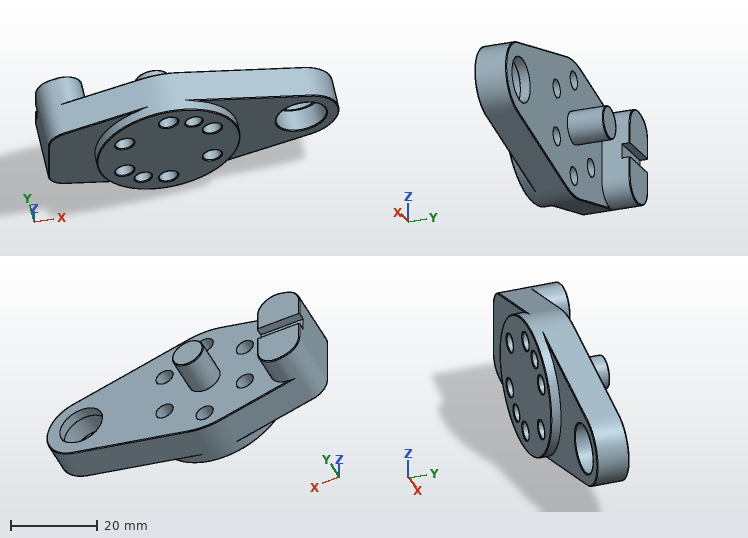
import cadquery as cq
import math


hub_diameter = 34.0
hub_overhang = 0.002
flank_radius = hub_diameter / 2 - hub_overhang
left_end_x = -28.0
right_end_radius = 9.0
right_end_x = 32.0
corner_radius = 5.0

total_depth = 19.5
plate_front = 2.5
plate_thickness = 8.0
plate_back = plate_front + plate_thickness
pin_rise = 2.0
block_back = total_depth - pin_rise

block_length = 11.0
slot_width = 3.5
slot_depth = 2.0

pin_diameter = 8.0
bolt_circle_radius = 12.0
bolt_hole_diameter = 4.4
bolt_hole_count = 6
first_bolt_angle = 90
dowel_hole_diameter = 4.0
dowel_hole_depth = 6.0
dowel_angles = (60, 240)
bore_diameter = 12.0
bore_lip_diameter = 11.05
bore_lip_thickness = 2.5

edge_break = 0.2


def front_plane(y, x=0, z=0):
    """Workplane parallel to the hub face at depth y, centred on (x, z)."""
    return cq.Workplane("XZ", origin=(x, y, z))


def cylinder(diameter, y_start, y_end, x=0, z=0):
    return front_plane(y_start, x, z).circle(diameter / 2).extrude(y_start - y_end)


def hole_cutter(diameter, y_start, y_end, x, z):
    """Hole from y_start to y_end with a chamfered rim at y_start."""
    rim = cq.Solid.makeCone(
        diameter / 2 + edge_break, diameter / 2, edge_break, cq.Vector(x, y_start, z), cq.Vector(0, 1, 0)
    )
    return cylinder(diameter, y_start, y_end, x, z).union(cq.Workplane(rim))


def outline_prism(y_start, y_end):
    """Plate outline with sharp left corners: straight sides tangent to the flanks and right end."""
    slope = math.asin((flank_radius - right_end_radius) / right_end_x)
    flank_x = flank_radius * math.sin(slope)
    flank_z = flank_radius * math.cos(slope)
    tip_x = right_end_x + right_end_radius * math.sin(slope)
    tip_z = right_end_radius * math.cos(slope)
    left_z = flank_z - (-flank_x - left_end_x) * math.tan(slope)
    return (
        front_plane(y_start)
        .moveTo(left_end_x, left_z)
        .lineTo(-flank_x, flank_z)
        .threePointArc((0, flank_radius), (flank_x, flank_z))
        .lineTo(tip_x, tip_z)
        .threePointArc((right_end_x + right_end_radius, 0), (tip_x, -tip_z))
        .lineTo(flank_x, -flank_z)
        .threePointArc((0, -flank_radius), (-flank_x, -flank_z))
        .lineTo(left_end_x, -left_z)
        .close()
        .extrude(y_start - y_end)
    )


def make_plate():
    plate = outline_prism(plate_front, plate_back)
    plate = plate.edges("|Y and <X").fillet(corner_radius)
    return plate.faces("<Y or >Y").edges().chamfer(edge_break)


def make_hub():
    """Disc standing proud of the plate front and running back through the plate."""
    hub = cylinder(hub_diameter, 0, plate_back - edge_break)
    return hub.faces("<Y").edges().chamfer(edge_break)


def left_end_box(y_start, y_end, height):
    """Box as long as the end block, centred on Z."""
    box = cq.Workplane("XY", origin=(left_end_x, y_start, 0))
    return box.box(block_length, y_end - y_start, height, centered=(False, False, True))


def make_block():
    """Raised left end of the plate with rounded corners and a slot across its back."""
    start = plate_front + edge_break
    left_part = left_end_box(0, total_depth, hub_diameter)
    block = outline_prism(start, block_back).intersect(left_part)
    block = block.edges("|Y").fillet(corner_radius)
    block = block.faces(">Y").edges().chamfer(edge_break)
    return block.cut(left_end_box(block_back - slot_depth, block_back, slot_width))


def make_pin():
    pin = cylinder(pin_diameter, plate_front, total_depth)
    return pin.faces(">Y").edges().chamfer(edge_break)


def polar(angle):
    """Point (x, z) on the bolt circle, angle in degrees from +X toward +Z."""
    turn = math.radians(angle)
    return bolt_circle_radius * math.cos(turn), bolt_circle_radius * math.sin(turn)


result = make_plate().union(make_hub()).union(make_block()).union(make_pin())

for i in range(bolt_hole_count):
    x, z = polar(first_bolt_angle + i * 360 / bolt_hole_count)
    result = result.cut(hole_cutter(bolt_hole_diameter, 0, plate_back, x, z))

for angle in dowel_angles:
    x, z = polar(angle)
    result = result.cut(hole_cutter(dowel_hole_diameter, 0, dowel_hole_depth, x, z))

bore_floor = plate_back - bore_lip_thickness
result = result.cut(hole_cutter(bore_diameter, plate_front, bore_floor, right_end_x, 0))
result = result.cut(cylinder(bore_lip_diameter, bore_floor, plate_back, right_end_x, 0))